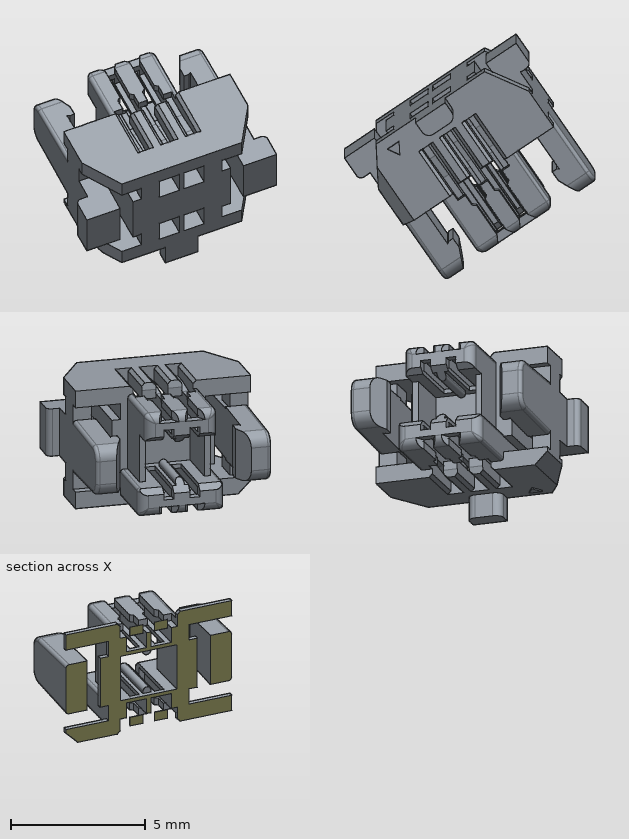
import cadquery as cq

TOTAL_LENGTH = 6.0
TOTAL_WIDTH = 7.71

BODY_FRONT = 2.83
BODY_HALF_WIDTH = 3.38
BODY_HEIGHT = 4.61
PLATE_THICKNESS = 0.655
REAR_CORNER_LENGTH = 1.535
REAR_CORNER_WIDTH = 0.94
BOTTOM_EDGE_CHAMFER = 0.485
POST_FRONT = 3.17
POST_REAR = 4.21
POST_INNER = 2.67
CORE_HALF_WIDTH = 1.64
CORE_STEP_HALF_WIDTH = 1.98
CORE_STEP_BOTTOM = 1.27

ARM_INNER = 2.505
ARM_ROOT_HALF_HEIGHT = 1.04
ARM_TIP_HALF_HEIGHT = 0.94
ARM_TIP_RADIUS = 0.51
ARM_EDGE_RADIUS = 0.14
ARM_NOSE_INNER = 2.6
HOOK_START = 0.84
HOOK_END = 1.23
HOOK_INNER = 2.23
HOOK_UNDERCUT_WIDTH = 0.085
HOOK_UNDERCUT_LENGTH = 0.06
LUG_FRONT = 5.0
LUG_RADIUS = 0.2
LUG_ARM_FRONT_HALF_HEIGHT = 0.98
LUG_ARM_REAR_HALF_HEIGHT = 0.9

TONGUE_FRONT = 0.255
TONGUE_OUTER_GAP = 0.315
TONGUE_HEIGHT = 1.07
UPPER_HALF_WIDTH = 1.365
LOWER_HALF_WIDTH = CORE_HALF_WIDTH
TONGUE_TIP_RADIUS = 0.34
UPPER_LIP_LENGTH = 0.255
UPPER_LIP_HEIGHT = 0.19
LOWER_LIP_LENGTH = 0.22
LOWER_LIP_HEIGHT = 0.22
UPPER_EDGE_RADIUS = 0.16
LOWER_EDGE_RADIUS = 0.115
KEY_WIDTH = 0.32
KEY_HEIGHT = 0.25
WEB_FRONT = 1.23
WEB_THICKNESS = 0.23
CAVITY_REAR = POST_FRONT

CONTACT_OFFSET = 0.5
SLOT_WIDTH = 0.38
FLARED_SLOT_WIDTH = 0.755
WIDE_SLOT_WIDTH = 0.65
WIDE_SLOT_START = 1.935
WIDE_SLOT_FULL = 2.035
CHAMBER_WIDTH = 0.81
CHAMBER_FRONT = 0.59
CHAMBER_FLOOR = 1.08
FLOOR_SLOPE_START = 3.13
FLOOR_SLOPE_END = 4.33
FLOOR_DROP = 0.31
NOSE_WEB_BOTTOM = 1.365
NOSE_WEB_TOP = 1.64

RECESS_FRONT = 2.48
RECESS_REAR = 4.87
RECESS_HALF_WIDTH = 1.16
RECESS_FLOOR = 1.7
RECESS_RISE_START = 3.44
RECESS_RISE = 0.115
RIB_FRONT = 2.99
RIB_WIDTH = 0.54
RIB_NOSE_SLOPE = 0.06
RIB_NOSE_HEIGHT = 0.27
GUIDE_CHAMFER = 0.12

PEG_FRONT = 5.26
PEG_WIDTH = 1.33
PEG_HEIGHT = 0.9
PEG_RADIUS = 0.315
MARK_TIP_X = 5.17
MARK_LENGTH = 0.44
MARK_WIDTH = 0.525
MARK_HEIGHT = 0.055
MARK_Y = -1.93

MID_Z = BODY_HEIGHT / 2
HALF_HEIGHT = BODY_HEIGHT / 2
TONGUE_OUTER = HALF_HEIGHT - TONGUE_OUTER_GAP
TONGUE_INNER = TONGUE_OUTER - TONGUE_HEIGHT
CONTACT_POSITIONS = (-CONTACT_OFFSET, CONTACT_OFFSET)


def box(x0, x1, y0, y1, z0, z1):
    return cq.Workplane("XY").box(x1 - x0, y1 - y0, z1 - z0, centered=False).translate((x0, y0, z0))


def plan_prism(points, z0, z1):
    """Extrude an outline of (X, Y) points between two heights."""
    return cq.Workplane("XY", origin=(0, 0, z0)).polyline(points).close().extrude(z1 - z0)


def side_prism(points, y0, y1):
    """Extrude an outline of (X, Z) points between two Y positions."""
    return cq.Workplane("XZ", origin=(0, y0, 0)).polyline(points).close().extrude(y0 - y1)


def mirrored_in_y(shape):
    return shape.union(shape.mirror("XZ"))


def on_upper_side(shape):
    return shape.translate((0, 0, MID_Z))


def on_lower_side(shape):
    return on_upper_side(shape.mirror("XY"))


def body():
    corner_x = TOTAL_LENGTH - REAR_CORNER_LENGTH
    corner_y = BODY_HALF_WIDTH - REAR_CORNER_WIDTH
    outline = [
        (BODY_FRONT, -BODY_HALF_WIDTH), (corner_x, -BODY_HALF_WIDTH), (TOTAL_LENGTH, -corner_y),
        (TOTAL_LENGTH, corner_y), (corner_x, BODY_HALF_WIDTH), (BODY_FRONT, BODY_HALF_WIDTH),
    ]
    top_plate = plan_prism(outline, BODY_HEIGHT - PLATE_THICKNESS, BODY_HEIGHT)
    bottom_plate = plan_prism(outline, 0, PLATE_THICKNESS)
    bottom_plate = bottom_plate.cut(
        cq.Workplane("YZ").moveTo(-BODY_HALF_WIDTH, 0)
        .lineTo(-BODY_HALF_WIDTH + BOTTOM_EDGE_CHAMFER, 0)
        .lineTo(-BODY_HALF_WIDTH, BOTTOM_EDGE_CHAMFER).close().extrude(TOTAL_LENGTH)
    )
    core = box(BODY_FRONT, TOTAL_LENGTH, -CORE_HALF_WIDTH, CORE_HALF_WIDTH,
               PLATE_THICKNESS, BODY_HEIGHT - PLATE_THICKNESS)
    core_step = box(BODY_FRONT, TOTAL_LENGTH, -CORE_STEP_HALF_WIDTH, CORE_STEP_HALF_WIDTH,
                    CORE_STEP_BOTTOM, BODY_HEIGHT - CORE_STEP_BOTTOM)
    posts = mirrored_in_y(box(POST_FRONT, POST_REAR, POST_INNER, BODY_HALF_WIDTH,
                              PLATE_THICKNESS, BODY_HEIGHT - PLATE_THICKNESS))
    return top_plate.union(bottom_plate).union(core).union(core_step).union(posts)


def latch_arms():
    """Tapered arms with rounded tips and inward hooks."""
    blade = side_prism([
        (0, MID_Z - ARM_TIP_HALF_HEIGHT), (POST_FRONT, MID_Z - ARM_ROOT_HALF_HEIGHT),
        (POST_FRONT, MID_Z + ARM_ROOT_HALF_HEIGHT), (0, MID_Z + ARM_TIP_HALF_HEIGHT),
    ], HOOK_INNER, BODY_HALF_WIDTH)
    blade = blade.faces("<X").edges("|Y").fillet(ARM_TIP_RADIUS)
    blade = blade.faces(">Y").edges("not(>X)").fillet(ARM_EDGE_RADIUS)
    plan = plan_prism([
        (0, BODY_HALF_WIDTH), (0, ARM_NOSE_INNER), (HOOK_START, HOOK_INNER), (HOOK_END, HOOK_INNER),
        (HOOK_END, ARM_INNER - HOOK_UNDERCUT_WIDTH), (HOOK_END - HOOK_UNDERCUT_LENGTH, ARM_INNER),
        (POST_FRONT, ARM_INNER), (POST_FRONT, BODY_HALF_WIDTH),
    ], 0, BODY_HEIGHT)
    return mirrored_in_y(blade.intersect(plan))


def rear_lugs():
    """Rearward continuation of the arms, ending in outward lugs."""
    half_width = TOTAL_WIDTH / 2
    plan = plan_prism([
        (POST_FRONT, ARM_INNER), (TOTAL_LENGTH, ARM_INNER), (TOTAL_LENGTH, half_width),
        (LUG_FRONT, half_width), (LUG_FRONT, BODY_HALF_WIDTH), (POST_FRONT, BODY_HALF_WIDTH),
    ], 0, BODY_HEIGHT)
    plan = plan.faces(">Y").edges("<X").fillet(LUG_RADIUS)
    taper = side_prism([
        (POST_FRONT, MID_Z - LUG_ARM_FRONT_HALF_HEIGHT), (TOTAL_LENGTH, MID_Z - LUG_ARM_REAR_HALF_HEIGHT),
        (TOTAL_LENGTH, MID_Z + LUG_ARM_REAR_HALF_HEIGHT), (POST_FRONT, MID_Z + LUG_ARM_FRONT_HALF_HEIGHT),
    ], ARM_INNER, half_width)
    return mirrored_in_y(plan.intersect(taper))


def tongue(half_width, rounded_edges, edge_radius, lip_length, lip_height):
    """Solid tongue with a rounded tip, a chamfered inner lip and a polarising key."""
    blank = box(TONGUE_FRONT, BODY_FRONT, -half_width, half_width, TONGUE_INNER, TONGUE_OUTER)
    plan = blank.edges("|Z and <X").fillet(TONGUE_TIP_RADIUS)
    profile = blank.edges("|Y and <X and >Z").fillet(TONGUE_TIP_RADIUS)
    solid = plan.intersect(profile)
    solid = solid.edges(rounded_edges).fillet(edge_radius)

    key_radius = KEY_WIDTH / 2
    key_end = TONGUE_INNER - KEY_HEIGHT
    key = (
        cq.Workplane("YZ", origin=(TONGUE_FRONT, 0, 0))
        .moveTo(-key_radius, TONGUE_INNER + lip_height).lineTo(-key_radius, key_end + key_radius)
        .threePointArc((0, key_end), (key_radius, key_end + key_radius))
        .lineTo(key_radius, TONGUE_INNER + lip_height).close()
        .extrude(BODY_FRONT - TONGUE_FRONT)
    )
    cut_length = lip_length * (lip_height + KEY_HEIGHT) / lip_height
    lip_cut = side_prism([
        (TONGUE_FRONT, key_end), (TONGUE_FRONT + cut_length, key_end),
        (TONGUE_FRONT, TONGUE_INNER + lip_height),
    ], -half_width, half_width)
    return solid.union(key).cut(lip_cut)


def webs():
    """Side walls joining the two tongues."""
    web = box(WEB_FRONT, BODY_FRONT, UPPER_HALF_WIDTH - WEB_THICKNESS, UPPER_HALF_WIDTH,
              MID_Z - TONGUE_INNER, MID_Z + TONGUE_INNER)
    return mirrored_in_y(web)


def mating_cavity():
    """Continuation of the space between the tongues into the body."""
    half_width = UPPER_HALF_WIDTH - WEB_THICKNESS
    return box(BODY_FRONT, CAVITY_REAR, -half_width, half_width, MID_Z - TONGUE_INNER, MID_Z + TONGUE_INNER)


def guide_rib(y):
    """Cantilevered rib with chamfered outer edges and a slightly sloped nose."""
    rib = box(RIB_FRONT, RECESS_REAR, y - RIB_WIDTH / 2, y + RIB_WIDTH / 2, RECESS_FLOOR, HALF_HEIGHT)
    rib = rib.edges("|X and >Z").chamfer(GUIDE_CHAMFER)
    nose = side_prism([
        (RIB_FRONT, HALF_HEIGHT), (RIB_FRONT + RIB_NOSE_SLOPE, HALF_HEIGHT),
        (RIB_FRONT, HALF_HEIGHT - RIB_NOSE_HEIGHT),
    ], y - RIB_WIDTH / 2, y + RIB_WIDTH / 2)
    return rib.cut(nose)


def plate_recess():
    """Open recess above the chambers, with its guide ribs left standing."""
    recess = side_prism([
        (RECESS_FRONT, HALF_HEIGHT), (RECESS_FRONT, RECESS_FLOOR), (RECESS_RISE_START, RECESS_FLOOR),
        (FLOOR_SLOPE_END, RECESS_FLOOR + RECESS_RISE), (RECESS_REAR, RECESS_FLOOR + RECESS_RISE),
        (RECESS_REAR, HALF_HEIGHT),
    ], -RECESS_HALF_WIDTH, RECESS_HALF_WIDTH)
    mouth = (
        cq.Workplane("YZ", origin=(BODY_FRONT, 0, 0))
        .moveTo(-RECESS_HALF_WIDTH, HALF_HEIGHT - GUIDE_CHAMFER)
        .lineTo(-RECESS_HALF_WIDTH - GUIDE_CHAMFER, HALF_HEIGHT)
        .lineTo(RECESS_HALF_WIDTH + GUIDE_CHAMFER, HALF_HEIGHT)
        .lineTo(RECESS_HALF_WIDTH, HALF_HEIGHT - GUIDE_CHAMFER).close()
        .extrude(RECESS_REAR - BODY_FRONT)
    )
    recess = recess.union(mouth)
    for y in CONTACT_POSITIONS:
        recess = recess.cut(guide_rib(y))
    return recess


def contact_chamber(y):
    """Slots and through chamber for one contact."""
    half_slot = SLOT_WIDTH / 2
    half_flare = FLARED_SLOT_WIDTH / 2
    half_wide = WIDE_SLOT_WIDTH / 2
    half_chamber = CHAMBER_WIDTH / 2
    through_slot = box(CHAMBER_FRONT, BODY_FRONT, y - half_slot, y + half_slot, TONGUE_INNER, TONGUE_OUTER)
    nose_lower = box(TONGUE_FRONT, CHAMBER_FRONT, y - half_slot, y + half_slot, TONGUE_INNER, NOSE_WEB_BOTTOM)
    nose_upper = plan_prism([
        (CHAMBER_FRONT, y - half_slot), (CHAMBER_FRONT, y + half_slot),
        (TONGUE_FRONT, y + half_flare), (TONGUE_FRONT, y - half_flare),
    ], NOSE_WEB_TOP, TONGUE_OUTER)
    wide_slot = plan_prism([
        (WIDE_SLOT_START, y - half_slot), (WIDE_SLOT_FULL, y - half_wide), (RECESS_FRONT, y - half_wide),
        (RECESS_FRONT, y + half_wide), (WIDE_SLOT_FULL, y + half_wide), (WIDE_SLOT_START, y + half_slot),
    ], RECESS_FLOOR, TONGUE_OUTER)
    chamber = side_prism([
        (CHAMBER_FRONT, CHAMBER_FLOOR), (FLOOR_SLOPE_START, CHAMBER_FLOOR),
        (FLOOR_SLOPE_END, CHAMBER_FLOOR - FLOOR_DROP), (TOTAL_LENGTH, CHAMBER_FLOOR - FLOOR_DROP),
        (TOTAL_LENGTH, RECESS_FLOOR), (CHAMBER_FRONT, RECESS_FLOOR),
    ], y - half_chamber, y + half_chamber)
    return through_slot.union(nose_lower).union(nose_upper).union(wide_slot).union(chamber)


def contact_openings():
    openings = plate_recess()
    for y in CONTACT_POSITIONS:
        beside_rib = box(RIB_FRONT, RECESS_REAR, y - CHAMBER_WIDTH / 2, y + CHAMBER_WIDTH / 2,
                         RECESS_FLOOR, RECESS_FLOOR + RECESS_RISE).cut(guide_rib(y))
        openings = openings.union(contact_chamber(y)).union(beside_rib)
    return openings


def locating_peg():
    half_width = PEG_WIDTH / 2
    peg = box(PEG_FRONT, TOTAL_LENGTH, -half_width, half_width, -PEG_HEIGHT, PLATE_THICKNESS / 2)
    return peg.edges("|Z and <X").fillet(PEG_RADIUS)


def pin_one_mark():
    base_x = MARK_TIP_X + MARK_LENGTH
    outline = [(MARK_TIP_X, MARK_Y), (base_x, MARK_Y - MARK_WIDTH / 2), (base_x, MARK_Y + MARK_WIDTH / 2)]
    return plan_prism(outline, -MARK_HEIGHT, PLATE_THICKNESS / 2)


upper_tongue = tongue(UPPER_HALF_WIDTH, "|X and >Z", UPPER_EDGE_RADIUS, UPPER_LIP_LENGTH, UPPER_LIP_HEIGHT)
lower_tongue = tongue(LOWER_HALF_WIDTH, "|X", LOWER_EDGE_RADIUS, LOWER_LIP_LENGTH, LOWER_LIP_HEIGHT)
openings = contact_openings()

result = body().cut(mating_cavity()).union(latch_arms()).union(rear_lugs()).union(webs())
result = result.union(on_upper_side(upper_tongue)).union(on_lower_side(lower_tongue))
result = result.cut(on_upper_side(openings)).cut(on_lower_side(openings))
result = result.union(locating_peg()).union(pin_one_mark())